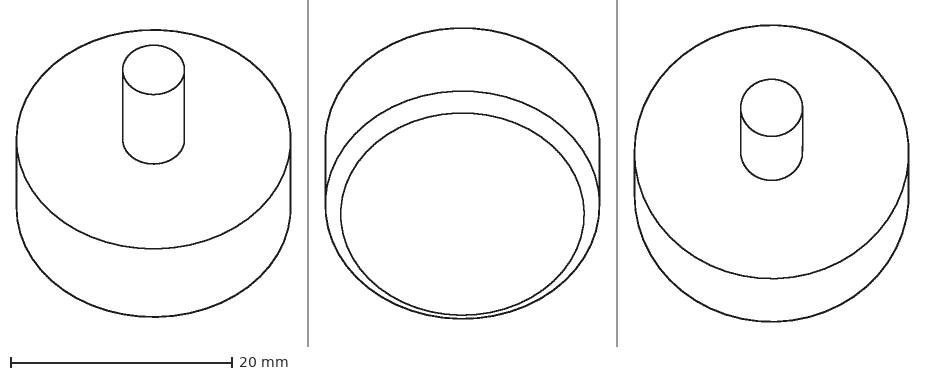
import cadquery as cq

total_height = 25.4
body_diameter = 24.8
stem_diameter = 5.6
stem_height = 10.41
chamfer_height = 1.47
chamfer_width = 1.4
tip_height = 3.28

body_radius = body_diameter / 2
stem_radius = stem_diameter / 2
cone_radius = body_radius - chamfer_width
body_bottom = tip_height + chamfer_height
body_top = total_height - stem_height

profile = (
    cq.Workplane("XZ")
    .moveTo(0, 0)
    .lineTo(cone_radius, tip_height)
    .lineTo(body_radius, body_bottom)
    .lineTo(body_radius, body_top)
    .lineTo(stem_radius, body_top)
    .lineTo(stem_radius, total_height)
    .lineTo(0, total_height)
    .close()
)
result = profile.revolve(360, (0, 0, 0), (0, 1, 0))